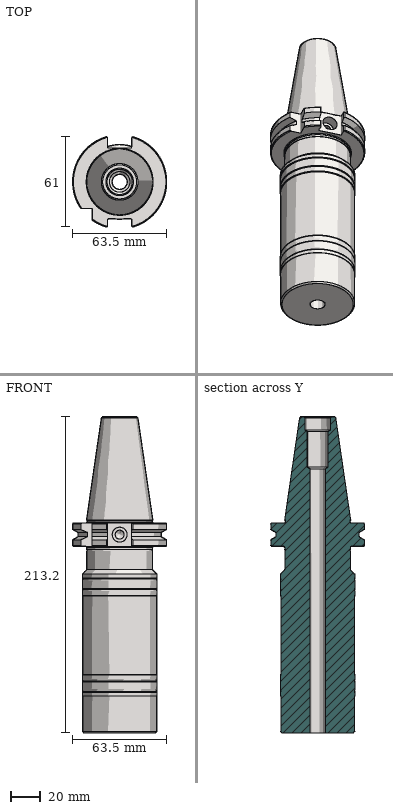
import cadquery as cq
import math


GAUGE_DIA = 44.45
TAPER_LENGTH = 68.4
TAPER_RATIO = 7 / 24
TAPER_END_CHAMFER = 0.8
TOTAL_LENGTH = 213.25

FLANGE_DIA = 63.55
FLANGE_TOP_Z = -3.2
FLANGE_BOTTOM_Z = -19.0
FLANGE_RIM_CHAMFER = 0.6
GROOVE_Z = -11.1
GROOVE_FLOOR_DIA = 56.25
GROOVE_HALF_WIDTH = 3.5
GROOVE_FLANK_ANGLE = 30

SLOT_WIDTH = 16.1
FRONT_SLOT_DEPTH_Y = 25.0
BACK_SLOT_DEPTH_Y = 22.8
SLOT_EDGE_CHAMFER = 1.0
SLOT_CORNER_RADIUS = 0.5
NOTCH_X = 18.5
NOTCH_Y = 18.0
NOTCH_CORNER_RADIUS = 0.5

RELIEF_DIA = 43.95
TAPER_OVERRUN_Z = -1.15
UPPER_RELIEF_Z = -1.6
LOWER_RELIEF_TOP_Z = -21.1
LOWER_RELIEF_BOTTOM_Z = -22.4
NECK_CHAMFER = 0.6

BODY_DIA = 50.0
BODY_END_CHAMFER = 1.0
RING_DIA = 50.5
SHOULDER_Z = -37.75
SHOULDER_HEIGHT = (RING_DIA - GAUGE_DIA) / 2
NARROW_RING = 2.65
WIDE_RING = 5.1
STEEP_FLANK = 0.6
SHALLOW_FLANK = 1.3
LOWER_RINGS_END_Z = -120.0

BORE_DIA = 10.0
COUNTERBORE_DIA = 17.0
COUNTERBORE_DEPTH = 9.0
COUNTERBORE_CHAMFER = 0.8
THREAD_BORE_DIA = 13.84
THREAD_BORE_DEPTH = 34.0
DRILL_TIP_ANGLE = 59

POCKET_DIA = 10.0
POCKET_DEPTH = 7.0
PILOT_DIA = 6.0
PILOT_DEPTH = 10.0

BOTTOM_Z = TAPER_LENGTH - TOTAL_LENGTH
CUT_MARGIN = 5.0
SELECT_MARGIN = 0.1


def ring_group(start_z, direction):
    """Profile points of three grip rings, from the plain outer side (start_z) towards the bare body."""
    ring_r = RING_DIA / 2
    body_r = BODY_DIA / 2
    z = start_z
    points = [(ring_r, z)]
    for width, is_last in ((NARROW_RING, False), (WIDE_RING, False), (NARROW_RING, True)):
        z += direction * width
        points.append((ring_r, z))
        z += direction * STEEP_FLANK
        points.append((body_r, z))
        if not is_last:
            z += direction * SHALLOW_FLANK
            points.append((ring_r, z))
    return points


def make_turned_body():
    """Taper, flange, neck and body as one revolved outline."""
    gauge_r = GAUGE_DIA / 2
    relief_r = RELIEF_DIA / 2
    body_r = BODY_DIA / 2
    flange_r = FLANGE_DIA / 2
    floor_r = GROOVE_FLOOR_DIA / 2
    taper_end_r = gauge_r - TAPER_LENGTH * TAPER_RATIO / 2
    chamfer_start_r = taper_end_r + TAPER_END_CHAMFER * TAPER_RATIO / 2
    floor_half_width = GROOVE_HALF_WIDTH - (flange_r - floor_r) * math.tan(math.radians(GROOVE_FLANK_ANGLE))
    taper = [
        (0, TAPER_LENGTH),
        (taper_end_r - TAPER_END_CHAMFER, TAPER_LENGTH),
        (chamfer_start_r, TAPER_LENGTH - TAPER_END_CHAMFER),
        (gauge_r - TAPER_OVERRUN_Z * TAPER_RATIO / 2, TAPER_OVERRUN_Z),
        (relief_r, UPPER_RELIEF_Z),
        (relief_r, FLANGE_TOP_Z + NECK_CHAMFER),
        (relief_r + NECK_CHAMFER, FLANGE_TOP_Z),
    ]
    flange = [
        (flange_r - FLANGE_RIM_CHAMFER, FLANGE_TOP_Z),
        (flange_r, FLANGE_TOP_Z - FLANGE_RIM_CHAMFER),
        (flange_r, GROOVE_Z + GROOVE_HALF_WIDTH),
        (floor_r, GROOVE_Z + floor_half_width),
        (floor_r, GROOVE_Z - floor_half_width),
        (flange_r, GROOVE_Z - GROOVE_HALF_WIDTH),
        (flange_r, FLANGE_BOTTOM_Z + FLANGE_RIM_CHAMFER),
        (flange_r - FLANGE_RIM_CHAMFER, FLANGE_BOTTOM_Z),
    ]
    neck = [
        (gauge_r + NECK_CHAMFER, FLANGE_BOTTOM_Z),
        (gauge_r, FLANGE_BOTTOM_Z - NECK_CHAMFER),
        (gauge_r, LOWER_RELIEF_TOP_Z),
        (relief_r, LOWER_RELIEF_TOP_Z),
        (gauge_r, LOWER_RELIEF_BOTTOM_Z),
        (gauge_r, SHOULDER_Z + SHOULDER_HEIGHT),
    ]
    upper_rings = ring_group(SHOULDER_Z, -1)
    lower_rings = ring_group(LOWER_RINGS_END_Z, 1)[::-1]
    tail = [
        (body_r, LOWER_RINGS_END_Z),
        (body_r, BOTTOM_Z + BODY_END_CHAMFER),
        (body_r - BODY_END_CHAMFER, BOTTOM_Z),
        (0, BOTTOM_Z),
    ]
    outline = taper + flange + neck + upper_rings + lower_rings + tail
    return cq.Workplane("XZ").polyline(outline).close().revolve(360, (0, 0), (0, 1))


def flange_height_prism(sketch):
    """Extrude a closed XY outline through the flange, from its underside to its top."""
    return sketch.extrude(FLANGE_TOP_Z - FLANGE_BOTTOM_Z)


def make_slot_cutter(floor_y, side):
    """Drive slot open at the rim; side is -1 for the front slot and +1 for the back slot."""
    half = SLOT_WIDTH / 2
    rim_y = math.sqrt((FLANGE_DIA / 2) ** 2 - half ** 2)
    outer_y = FLANGE_DIA / 2 + CUT_MARGIN
    flare = half + outer_y - rim_y + SLOT_EDGE_CHAMFER
    outline = (
        cq.Workplane("XY", origin=(0, 0, FLANGE_BOTTOM_Z))
        .moveTo(-half, side * floor_y)
        .lineTo(half, side * floor_y)
        .lineTo(half, side * (rim_y - SLOT_EDGE_CHAMFER))
        .lineTo(flare, side * outer_y)
        .lineTo(-flare, side * outer_y)
        .lineTo(-half, side * (rim_y - SLOT_EDGE_CHAMFER))
        .close()
    )
    floor_corners = cq.selectors.BoxSelector(
        (-half - SELECT_MARGIN, side * floor_y - SELECT_MARGIN, FLANGE_BOTTOM_Z),
        (half + SELECT_MARGIN, side * floor_y + SELECT_MARGIN, FLANGE_TOP_Z),
    )
    return flange_height_prism(outline).edges("|Z").edges(floor_corners).fillet(SLOT_CORNER_RADIUS)


def make_notch_cutter():
    """Square orientation notch that removes the rim in the -X, -Y quarter."""
    outer = FLANGE_DIA / 2
    outline = cq.Workplane("XY", origin=(-outer, -outer, FLANGE_BOTTOM_Z)).rect(
        outer - NOTCH_X, outer - NOTCH_Y, centered=False
    )
    return flange_height_prism(outline).edges("|Z and >X and >Y").fillet(NOTCH_CORNER_RADIUS)


def drill_tip_height(radius):
    return radius / math.tan(math.radians(DRILL_TIP_ANGLE))


def make_axial_bore_cutter():
    """Stepped bore from the taper end, narrowing to a plain hole through the whole part."""
    bore_r = BORE_DIA / 2
    thread_r = THREAD_BORE_DIA / 2
    counterbore_r = COUNTERBORE_DIA / 2
    counterbore_z = TAPER_LENGTH - COUNTERBORE_DEPTH
    thread_z = TAPER_LENGTH - THREAD_BORE_DEPTH
    outline = [
        (0, TAPER_LENGTH),
        (counterbore_r + COUNTERBORE_CHAMFER, TAPER_LENGTH),
        (counterbore_r, TAPER_LENGTH - COUNTERBORE_CHAMFER),
        (counterbore_r, counterbore_z),
        (thread_r, counterbore_z - drill_tip_height(counterbore_r - thread_r)),
        (thread_r, thread_z),
        (bore_r, thread_z - drill_tip_height(thread_r - bore_r)),
        (bore_r, BOTTOM_Z),
        (0, BOTTOM_Z),
    ]
    return cq.Workplane("XZ").polyline(outline).close().revolve(360, (0, 0), (0, 1))


def make_pocket_cutter():
    """Flat counterbore and cone-tipped pilot hole drilled radially into the front slot floor."""
    pocket_r = POCKET_DIA / 2
    pilot_r = PILOT_DIA / 2
    pocket_y = -FRONT_SLOT_DEPTH_Y + POCKET_DEPTH
    pilot_y = -FRONT_SLOT_DEPTH_Y + PILOT_DEPTH
    outline = [
        (0, -FRONT_SLOT_DEPTH_Y),
        (pocket_r, -FRONT_SLOT_DEPTH_Y),
        (pocket_r, pocket_y),
        (pilot_r, pocket_y),
        (pilot_r, pilot_y),
        (0, pilot_y + drill_tip_height(pilot_r)),
    ]
    plane = cq.Workplane("XY", origin=(0, 0, GROOVE_Z))
    return plane.polyline(outline).close().revolve(360, (0, 0), (0, 1))


result = (
    make_turned_body()
    .cut(make_slot_cutter(FRONT_SLOT_DEPTH_Y, -1))
    .cut(make_slot_cutter(BACK_SLOT_DEPTH_Y, 1))
    .cut(make_notch_cutter())
    .cut(make_axial_bore_cutter())
    .cut(make_pocket_cutter())
)